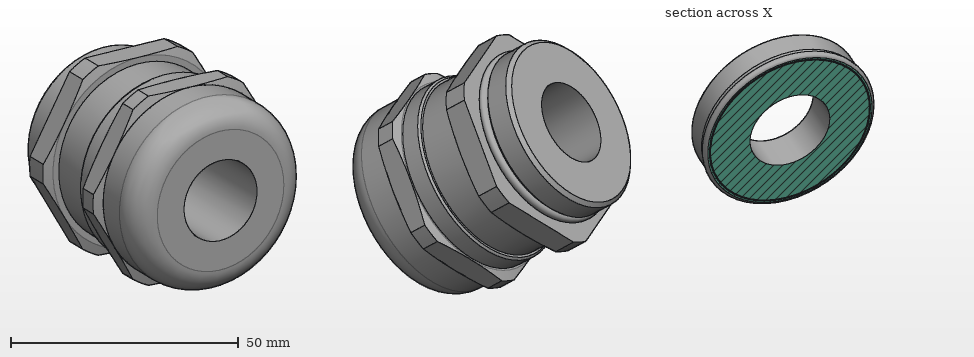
import cadquery as cq
import math


thread_diameter = 40.0
chamfer_diameter = 38.16
thread_chamfer = (thread_diameter - chamfer_diameter) / 2
thread_straight_end = 6.3

ring_section_diameter = 2.0
ring_outer_diameter = 41.0

across_flats = 45.0
corner_diameter = 49.5
hex_chamfer_angle = 15.0
body_hex_start = 9.0
body_hex_end = 15.0
nut_hex_start = 30.0
nut_hex_end = 35.4

barrel_diameter = 42.0
collar_diameter = 44.1
collar_start = 25.0
collar_chamfer = 0.5

dome_diameter = 44.98
dome_round_radius = 6.0
total_length = 48.0

bore_diameter = 19.0


def cylinder(diameter, start, end):
    """Solid cylinder on the X axis between two X positions."""
    return cq.Workplane("YZ", origin=(start, 0, 0)).circle(diameter / 2).extrude(end - start)


def make_thread():
    """Threaded end, chamfered on both sides, with a neck under the sealing ring."""
    thread_end = thread_straight_end + thread_chamfer
    thread = cylinder(thread_diameter, 0, thread_end).edges().chamfer(thread_chamfer)
    neck = cylinder(chamfer_diameter, thread_end, body_hex_start)
    return thread.union(neck)


def make_sealing_ring():
    """Round-section ring touching the front face of the body hexagon."""
    section_radius = ring_section_diameter / 2
    centre_x = body_hex_start - section_radius
    centre_radius = ring_outer_diameter / 2 - section_radius
    return (
        cq.Workplane("XY")
        .center(centre_x, centre_radius)
        .circle(section_radius)
        .revolve(360, (-centre_x, -centre_radius), (-centre_x + 1, -centre_radius))
    )


def make_hexagon(start, end, chamfer_start):
    """Hexagon with flats facing +-Z, rounded corners and conical end chamfers."""
    hexagon = (
        cq.Workplane("YZ", origin=(start, 0, 0))
        .polygon(6, across_flats, circumscribed=True)
        .extrude(end - start)
        .rotate((0, 0, 0), (1, 0, 0), 90)
    )
    flat_radius = across_flats / 2
    corner_radius = corner_diameter / 2
    drop = (corner_radius - flat_radius) * math.tan(math.radians(hex_chamfer_angle))

    envelope = cq.Workplane("XY").moveTo(start, 0)
    if chamfer_start:
        envelope = envelope.lineTo(start, flat_radius).lineTo(start + drop, corner_radius)
    else:
        envelope = envelope.lineTo(start, corner_radius)
    envelope = envelope.lineTo(end - drop, corner_radius).lineTo(end, flat_radius).lineTo(end, 0)
    return hexagon.intersect(envelope.close().revolve(360, (0, 0), (1, 0)))


def make_collar():
    """Collar between barrel and cap nut, chamfered on the barrel side."""
    collar = cylinder(collar_diameter, collar_start, nut_hex_start)
    return collar.faces("<X").edges().chamfer(collar_chamfer)


def make_dome():
    """Cap end with a rounded outer rim."""
    dome = cylinder(dome_diameter, nut_hex_end, total_length)
    return dome.faces(">X").edges().fillet(dome_round_radius)


gland = make_thread()
gland = gland.union(make_sealing_ring())
gland = gland.union(make_hexagon(body_hex_start, body_hex_end, chamfer_start=False))
gland = gland.union(cylinder(barrel_diameter, body_hex_end, collar_start))
gland = gland.union(make_collar())
gland = gland.union(make_hexagon(nut_hex_start, nut_hex_end, chamfer_start=True))
gland = gland.union(make_dome())

result = gland.cut(cylinder(bore_diameter, 0, total_length))